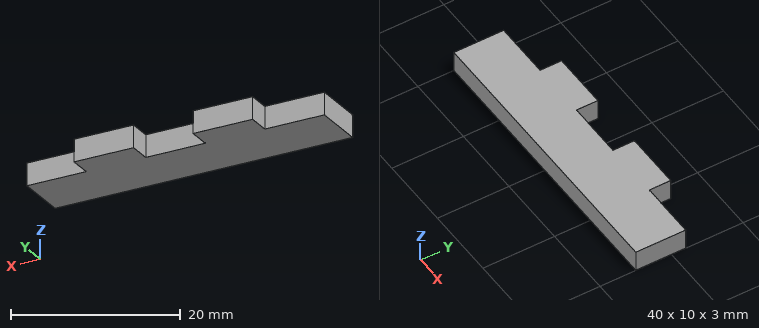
import cadquery as cq

length = 40.0
overall_depth = 10.0
thickness = 3.0
tab_depth = thickness

tab_width = length / 5
tab_pitch = 2 * tab_width
body_depth = overall_depth - tab_depth

body = cq.Workplane("XY").box(length, body_depth, thickness, centered=(True, False, False))

result = body
for tab_x in (-tab_pitch / 2, tab_pitch / 2):
    tab = (
        cq.Workplane("XY")
        .box(tab_width, tab_depth, thickness, centered=(True, False, False))
        .translate((tab_x, body_depth, 0))
    )
    result = result.union(tab)

result = result.clean()